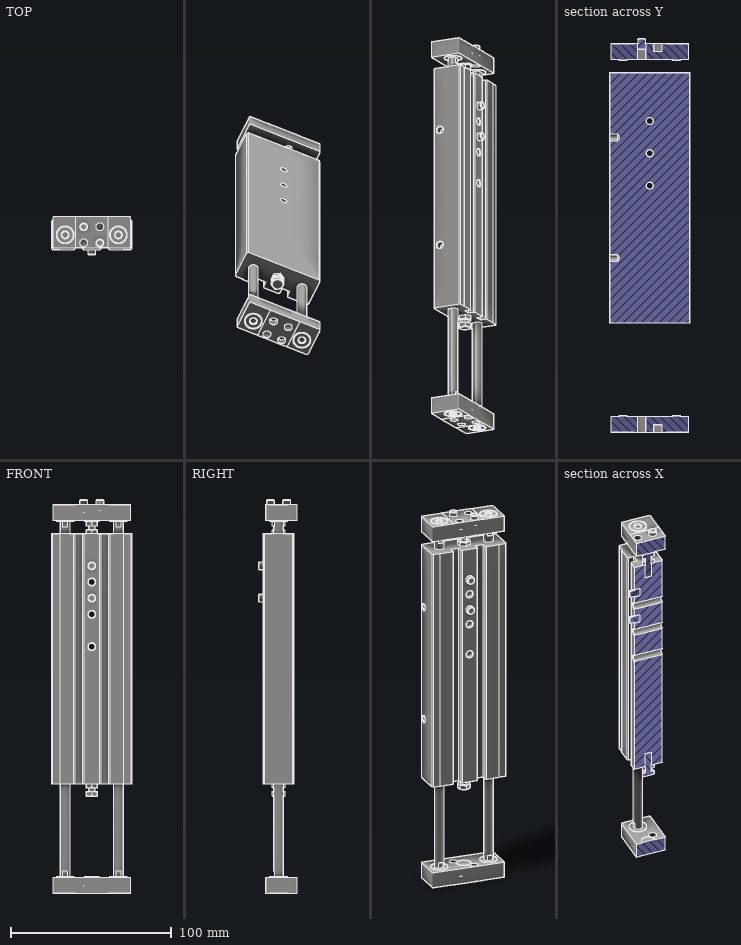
import cadquery as cq
import math


HOUSING_WIDTH = 50.0
HOUSING_DEPTH = 19.0
HOUSING_LENGTH = 155.8
HOUSING_CHAMFER = 1.0
HOUSING_TOP = HOUSING_LENGTH / 2
HOUSING_FRONT = -HOUSING_DEPTH / 2
FRONT_BAND_WIDTH = 39.5
FRONT_BAND_STEP = 0.2
SLOT_INNER_X = 5.6
SLOT_OUTER_X = 10.5
SLOT_DEPTH = 4.2
SLOT_CHAMFER = 0.7

PORT_PITCH = 10.0
PORT_BORE = 4.2
PORT_MOUTH = 5.0
OPEN_PORT_STEPS = (3, 5, 7)
PLUGGED_PORT_STEPS = (2, 4)
SIDE_PORT_SPACING = 75.0
SIDE_PORT_Y = 5.0
SIDE_PORT_DEPTH = 5.0
DRILL_TIP_ANGLE = 118

PLUG_DIAMETER = 5.0
PLUG_HEIGHT = 3.0
PLUG_CHAMFER = 0.5
PLUG_SEAT_DEPTH = 3.7

HEX_ACROSS_FLATS = 7.0
HEX_CORNER_DIAMETER = 2 * HEX_ACROSS_FLATS / math.sqrt(3)
HEX_CHAMFER_DIAMETER = 6.5
HEX_BEVEL_ANGLE = 30
STUD_DIAMETER = 4.0
STUD_DEPTH = 9.8
NUT_HEIGHT = 2.5
NECK_LENGTH = 2.2
HEAD_HEIGHT = 3.0
STOP_HEIGHT = NUT_HEIGHT + NECK_LENGTH + HEAD_HEIGHT

STROKE = 50.0
ROD_DIAMETER = 6.1
ROD_SPACING = 33.0
ROD_FLAT_WIDTH = 3.2
ROD_FLAT_HEIGHT = 3.5
PLATE_WIDTH = 48.3
PLATE_DEPTH = 19.5
PLATE_THICKNESS = 10.0
PLATE_CORNER_RADIUS = 0.7
PLATE_OVERHANG = 2.0
PLATE_Y = HOUSING_DEPTH / 2 + PLATE_OVERHANG - PLATE_DEPTH / 2
PAD_WIDTH = 20.0
PAD_HEIGHT = 0.12
BOSS_HEIGHT = 0.37
ROD_BOSS_DIAMETER = 11.0
BUMPER_DIAMETER = 8.8
SEAT_DIAMETER = 11.0
BOLT_HEAD_DIAMETER = 10.0
SEAT_GROOVE_DEPTH = 0.2
SOCKET_MOUTH = 5.0
SOCKET_BORE = 4.0
SOCKET_DEPTH = 0.7
PLATE_HOLE_DIAMETER = PLUG_DIAMETER
BLIND_PORT_DEPTH = 5.0
TOP_PLATE_Z = HOUSING_TOP + STOP_HEIGHT + BOSS_HEIGHT
BOTTOM_PLATE_Z = -(TOP_PLATE_Z + STROKE)
TOP_PAD_Z = TOP_PLATE_Z + PLATE_THICKNESS + PAD_HEIGHT

ROD_POINTS = [(side * ROD_SPACING / 2, 0) for side in (-1, 1)]
THROUGH_HOLES = [(-PORT_PITCH / 2, PORT_PITCH / 2), (PORT_PITCH / 2, -PORT_PITCH / 2)]
BLIND_PORTS = [(PORT_PITCH / 2, PORT_PITCH / 2), (-PORT_PITCH / 2, -PORT_PITCH / 2)]


def cylinder(diameter, z_start, length, points=((0, 0),)):
    """Upright cylinders on the given XY points."""
    return (
        cq.Workplane("XY").workplane(offset=z_start)
        .pushPoints(list(points)).circle(diameter / 2).extrude(length)
    )


def front_port_z(step):
    """Height of a front port, counted in port pitches down from the housing top."""
    return HOUSING_TOP - step * PORT_PITCH


def countersink(mouth_diameter, bore_diameter):
    """Cutting cone with its mouth at Z = 0, narrowing at 45 degrees upward to the bore."""
    height = (mouth_diameter - bore_diameter) / 2
    return cq.Workplane(cq.Solid.makeCone(mouth_diameter / 2, bore_diameter / 2, height))


def through_port():
    """Countersunk bore along +Y from the housing front, through the housing."""
    tool = cylinder(PORT_BORE, 0, HOUSING_DEPTH).union(countersink(PORT_MOUTH, PORT_BORE))
    return tool.rotate((0, 0, 0), (1, 0, 0), -90).translate((0, HOUSING_FRONT, 0))


def side_port():
    """Countersunk blind bore with a drill tip, along +X from the -X side of the housing."""
    tip_height = PORT_BORE / 2 / math.tan(math.radians(DRILL_TIP_ANGLE / 2))
    tip = cq.Workplane(cq.Solid.makeCone(PORT_BORE / 2, 0, tip_height)).translate((0, 0, SIDE_PORT_DEPTH))
    bore = cylinder(PORT_BORE, 0, SIDE_PORT_DEPTH).union(tip)
    tool = bore.union(countersink(PORT_MOUTH, PORT_BORE))
    return tool.rotate((0, 0, 0), (0, 1, 0), 90).translate((-HOUSING_WIDTH / 2, SIDE_PORT_Y, 0))


def edge_band(side):
    """Cutting tool that sets one edge of the housing front slightly back."""
    band_width = (HOUSING_WIDTH - FRONT_BAND_WIDTH) / 2
    band = cq.Workplane("XY").box(band_width, 2 * FRONT_BAND_STEP, HOUSING_LENGTH)
    return band.translate((side * (FRONT_BAND_WIDTH + band_width) / 2, HOUSING_FRONT, 0))


def front_slot(side):
    """Cutting tool for a full-length slot with bevelled edges in the housing front."""
    floor_y = HOUSING_FRONT + SLOT_DEPTH
    bevel_y = HOUSING_FRONT + SLOT_CHAMFER
    outline = [
        (SLOT_INNER_X - SLOT_CHAMFER, HOUSING_FRONT),
        (SLOT_INNER_X, bevel_y),
        (SLOT_INNER_X, floor_y),
        (SLOT_OUTER_X, floor_y),
        (SLOT_OUTER_X, bevel_y),
        (SLOT_OUTER_X + SLOT_CHAMFER, HOUSING_FRONT),
    ]
    return (
        cq.Workplane("XY").workplane(offset=-HOUSING_TOP)
        .polyline([(side * x, y) for x, y in outline]).close().extrude(HOUSING_LENGTH)
    )


def make_housing():
    body = (
        cq.Workplane("XY").box(HOUSING_WIDTH, HOUSING_DEPTH, HOUSING_LENGTH)
        .edges("|Z").chamfer(HOUSING_CHAMFER)
    )
    for side in (-1, 1):
        body = body.cut(edge_band(side)).cut(front_slot(side))
        body = body.cut(side_port().translate((0, 0, side * SIDE_PORT_SPACING / 2)))

    body = body.cut(cylinder(ROD_DIAMETER, -HOUSING_TOP, HOUSING_LENGTH, ROD_POINTS))
    stud_hole = cylinder(STUD_DIAMETER, HOUSING_TOP - STUD_DEPTH, STUD_DEPTH)
    body = body.cut(stud_hole).cut(stud_hole.mirror("XY"))

    for step in OPEN_PORT_STEPS:
        body = body.cut(through_port().translate((0, 0, front_port_z(step))))
    plug_hole = cylinder(PLUG_DIAMETER, 0, PLUG_SEAT_DEPTH).rotate((0, 0, 0), (1, 0, 0), -90)
    for step in PLUGGED_PORT_STEPS:
        body = body.cut(plug_hole.translate((0, HOUSING_FRONT, front_port_z(step))))
    return body


def make_plate():
    """End plate with its inner face at Z = 0 and its outer face upward."""
    plate = (
        cq.Workplane("XY").box(PLATE_WIDTH, PLATE_DEPTH, PLATE_THICKNESS, centered=(True, True, False))
        .edges("|Z").fillet(PLATE_CORNER_RADIUS)
    )
    pad = (
        cq.Workplane("XY").workplane(offset=PLATE_THICKNESS)
        .rect(PAD_WIDTH, PLATE_DEPTH).extrude(PAD_HEIGHT)
    )
    plate = plate.union(pad).translate((0, PLATE_Y, 0))
    plate = plate.union(cylinder(ROD_BOSS_DIAMETER, -BOSS_HEIGHT, BOSS_HEIGHT, ROD_POINTS))
    plate = plate.union(cylinder(BUMPER_DIAMETER, -BOSS_HEIGHT, BOSS_HEIGHT))
    plate = plate.cut(cylinder(PLATE_HOLE_DIAMETER, 0, PLATE_THICKNESS + PAD_HEIGHT, THROUGH_HOLES))
    blind_port_z = PLATE_THICKNESS + PAD_HEIGHT - BLIND_PORT_DEPTH
    plate = plate.cut(cylinder(PLATE_HOLE_DIAMETER, blind_port_z, BLIND_PORT_DEPTH, BLIND_PORTS))
    groove_z = PLATE_THICKNESS - SEAT_GROOVE_DEPTH
    groove = cylinder(SEAT_DIAMETER, groove_z, SEAT_GROOVE_DEPTH, ROD_POINTS)
    plate = plate.cut(groove.cut(cylinder(BOLT_HEAD_DIAMETER, groove_z, SEAT_GROOVE_DEPTH, ROD_POINTS)))
    socket = cylinder(SOCKET_BORE, 0, SOCKET_DEPTH).union(countersink(SOCKET_MOUTH, SOCKET_BORE))
    socket = socket.mirror("XY")
    for x, y in ROD_POINTS:
        plate = plate.cut(socket.translate((x, y, PLATE_THICKNESS)))
    return plate


def cut_rod_flats(rods):
    """Wrench flats on the front of the rods, next to the bosses of both plates."""
    radius = ROD_DIAMETER / 2
    flat_y = -math.sqrt(radius ** 2 - (ROD_FLAT_WIDTH / 2) ** 2)
    cutter = cq.Workplane("XY").box(ROD_DIAMETER, ROD_DIAMETER, ROD_FLAT_HEIGHT)
    inset = BOSS_HEIGHT + ROD_FLAT_HEIGHT / 2
    for x, _ in ROD_POINTS:
        for z in (TOP_PLATE_Z - inset, BOTTOM_PLATE_Z + inset):
            rods = rods.cut(cutter.translate((x, flat_y - radius, z)))
    return rods


def make_frame():
    rods = cylinder(ROD_DIAMETER, BOTTOM_PLATE_Z, TOP_PLATE_Z - BOTTOM_PLATE_Z, ROD_POINTS)
    top_plate = make_plate().translate((0, 0, TOP_PLATE_Z))
    bottom_plate = make_plate().mirror("XY").translate((0, 0, BOTTOM_PLATE_Z))
    return cut_rod_flats(rods).union(top_plate).union(bottom_plate)


def make_plug():
    """Plug through the surface at Z = 0, with its outer end upward."""
    plug = cylinder(PLUG_DIAMETER, -PLUG_SEAT_DEPTH, PLUG_SEAT_DEPTH + PLUG_HEIGHT)
    return plug.faces(">Z").edges().chamfer(PLUG_CHAMFER)


def make_hex(height):
    """Hexagon with flats on +X and -X, its upper corners bevelled by a cone."""
    hexagon = (
        cq.Workplane("XY").polygon(6, HEX_CORNER_DIAMETER).extrude(height)
        .rotate((0, 0, 0), (0, 0, 1), 30)
    )
    corner_radius = HEX_CORNER_DIAMETER / 2
    top_radius = HEX_CHAMFER_DIAMETER / 2
    drop = (corner_radius - top_radius) * math.tan(math.radians(HEX_BEVEL_ANGLE))
    profile = [
        (0, 0),
        (corner_radius, 0),
        (corner_radius, height - drop),
        (top_radius, height),
        (0, height),
    ]
    envelope = (
        cq.Workplane("XZ").polyline(profile).close()
        .revolve(360, (0, 0), (0, 1))
    )
    return hexagon.intersect(envelope)


def make_stop_bolt():
    """Stop bolt in the top of the housing, head upward."""
    stud = cylinder(STUD_DIAMETER, HOUSING_TOP - STUD_DEPTH, STUD_DEPTH + NUT_HEIGHT + NECK_LENGTH)
    head_z = HOUSING_TOP + NUT_HEIGHT + NECK_LENGTH
    return stud.union(make_hex(HEAD_HEIGHT).translate((0, 0, head_z)))


def make_lock_nut():
    """Lock nut seated on the top of the housing."""
    nut = make_hex(NUT_HEIGHT).cut(cylinder(STUD_DIAMETER, 0, NUT_HEIGHT))
    return nut.translate((0, 0, HOUSING_TOP))


housing = make_housing()
frame = make_frame()
stop_bolts = [make_stop_bolt(), make_stop_bolt().mirror("XY")]
lock_nuts = [make_lock_nut(), make_lock_nut().mirror("XY")]
plugs = [make_plug().translate((x, y, TOP_PAD_Z)) for x, y in THROUGH_HOLES]
for plug_step in PLUGGED_PORT_STEPS:
    front_plug = make_plug().rotate((0, 0, 0), (1, 0, 0), 90)
    plugs.append(front_plug.translate((0, HOUSING_FRONT, front_port_z(plug_step))))

bodies = [housing, frame, *stop_bolts, *lock_nuts, *plugs]
result = cq.Compound.makeCompound([body.solids().val() for body in bodies])